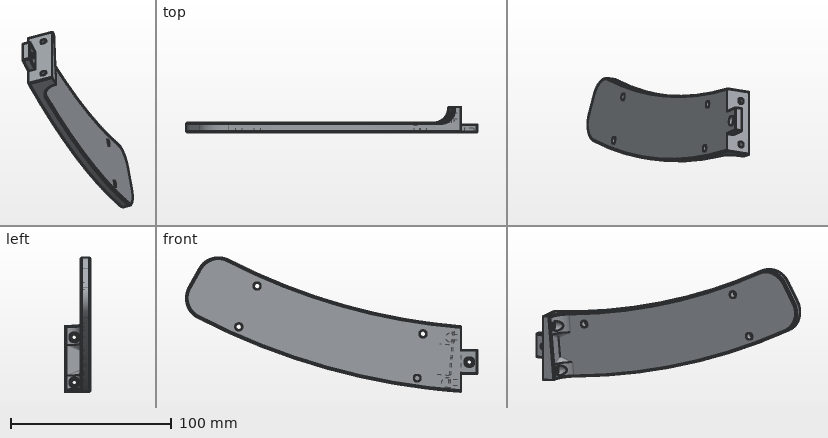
import cadquery as cq
import math

plate_thickness = 6.2
plate_end_x = 171.1
arc_center_x = 201.6
outer_radius = 422.5
inner_radius = 381.8
corner_radius = 13.6
edge_chamfer = 0.9

flange_height = 16.0
flange_thickness = 6.5
flange_fillet = 8.5
flange_tilt = 5.0
recess_width = 19.0
recess_runout = 3.5
recess_center = -0.7
end_chamfer = 0.5

tab_end_x = 181.3
tab_bottom = 11.0
tab_top = 26.1
tab_thickness = 5.0
tab_chamfer = 0.5
tab_hole_position = (176.2, 18.5)

screw_diameter = 3.6
counterbore_diameter = 6.0
counterbore_depth = 1.0
tab_counterbore_depth = 2.9
flange_hole_y = 10.2
flange_hole_heights = (5.8, 33.9)
plate_hole_diameter = 4.2
through_hole_positions = ((44.2, 65.8), (32.8, 40.5), (147.4, 36.0))
blind_hole_position = (143.8, 8.5)
blind_hole_depth = 4.4

overcut = 1.8
along_y_limit = 0.95
tip_size = 0.04

end_offset = arc_center_x - plate_end_x
arc_center_z = math.sqrt(outer_radius**2 - end_offset**2)
end_top = arc_center_z - math.sqrt(inner_radius**2 - end_offset**2)
flange_length = end_top
flange_middle = flange_length / 2

corner_path = outer_radius - corner_radius
corner_angle = math.asin((arc_center_x - corner_radius) / corner_path)
far_angle = corner_angle + math.asin(corner_radius / corner_path)
near_angle = math.asin(end_offset / outer_radius)


def band_point(radius, angle):
    """Point at an angle from straight down about the arc centre, as (x, z)."""
    return arc_center_x - radius * math.sin(angle), arc_center_z - radius * math.cos(angle)


def front_plane(y):
    """XZ sketch plane at a given y; a negative extrusion from it goes toward +Y."""
    return cq.Plane(origin=(0, y, 0), xDir=(1, 0, 0), normal=(0, -1, 0))


def front_cylinder(position, diameter, depth):
    """Cylinder running from the front face toward +Y."""
    return cq.Workplane(front_plane(0)).pushPoints([position]).circle(diameter / 2).extrude(-depth)


def make_band():
    """Full-height band outline, rounded at its two far corners."""
    middle_angle = (near_angle + far_angle) / 2
    band = (
        cq.Workplane(front_plane(0))
        .moveTo(plate_end_x, 0)
        .threePointArc(band_point(outer_radius, middle_angle), band_point(outer_radius, far_angle))
        .lineTo(*band_point(inner_radius, far_angle))
        .threePointArc(band_point(inner_radius, middle_angle), (plate_end_x, end_top))
        .close()
        .extrude(-flange_height)
    )
    return band.edges("|Y").edges("not >X").fillet(corner_radius)


def tilt_with_flange(body):
    """Move a body from flange coordinates (inner face at x = 0) to its tilted place."""
    turned = body.rotate((0, 0, 0), (0, 1, 0), flange_tilt)
    return turned.translate((plate_end_x - flange_thickness, 0, flange_middle))


def make_flange_clearance():
    """Space behind the plate, with a concave fillet up to the flange's inner face."""
    fillet_top = plate_thickness + flange_fillet
    reach = 2 * tab_end_x
    diagonal = flange_fillet * math.sqrt(0.5)
    profile = (
        cq.Workplane("XY", origin=(0, 0, -plate_end_x))
        .moveTo(-reach, plate_thickness)
        .lineTo(-flange_fillet, plate_thickness)
        .threePointArc((diagonal - flange_fillet, fillet_top - diagonal), (0, fillet_top))
        .lineTo(0, flange_height + overcut)
        .lineTo(-reach, flange_height + overcut)
        .close()
        .extrude(2 * plate_end_x)
    )
    return tilt_with_flange(profile)


def fillet_profile(plane, size):
    """Three-sided fillet section of a given size in the corner of plate and flange."""
    diagonal = size * math.sqrt(0.5)
    return (
        plane.moveTo(0, 0)
        .lineTo(-size, 0)
        .threePointArc((diagonal - size, size - diagonal), (0, size))
        .close()
    )


def make_fillet_recess():
    """Gap in the fillet, at each end of which the fillet fades to a point in the corner."""
    half_width = recess_width / 2
    gap = cq.Workplane("XY").box(
        flange_fillet + overcut, flange_height, recess_width, centered=(False, False, True)
    ).translate((-flange_fillet - overcut, 0, 0))
    full_section = fillet_profile(cq.Workplane("XY"), flange_fillet)
    runout = fillet_profile(full_section.workplane(offset=recess_runout), tip_size).loft(ruled=True)
    lower_runout = runout.translate((0, 0, -half_width))
    for ending in (lower_runout, lower_runout.mirror("XY")):
        gap = gap.cut(ending)
    return tilt_with_flange(gap.translate((0, plate_thickness, recess_center)))


def chamfer_long_edges(body):
    """Bevel the rim of the plate on both faces and the sides of the flange fillet."""
    rim = [
        edge
        for edge in body.edges().vals()
        if edge.Center().x < plate_end_x - flange_thickness
        and abs(edge.tangentAt(0.5).y) < along_y_limit
        and not is_across_plate(edge)
    ]
    return body.newObject(rim).chamfer(edge_chamfer)


def is_across_plate(edge):
    """True for straight edges that run across the band at the flange."""
    return edge.geomType() == "LINE" and edge.Center().x > plate_end_x / 2


def make_flange_bevel():
    """Wedge that bevels the edge between the flange's inner face and its rear face."""
    wedge = (
        cq.Workplane("XY", origin=(0, 0, -flange_length))
        .moveTo(0, flange_height - edge_chamfer)
        .lineTo(edge_chamfer, flange_height)
        .lineTo(0, flange_height)
        .close()
        .extrude(2 * flange_length)
    )
    return tilt_with_flange(wedge)


def make_tab():
    """Tongue bevelled along its top, bottom and free end; the hole is cut later."""
    root_x = plate_end_x - overcut
    tab = (
        cq.Workplane("XY")
        .box(tab_end_x - root_x, tab_thickness, tab_top - tab_bottom, centered=False)
        .translate((root_x, 0, tab_bottom))
    )
    return tab.faces(">X or >Z or <Z").chamfer(tab_chamfer)


def flange_cylinder(z, diameter, start_x, end_x):
    """Cylinder along X at the height of a flange hole."""
    return (
        cq.Workplane("YZ", origin=(start_x, 0, 0))
        .center(flange_hole_y, z)
        .circle(diameter / 2)
        .extrude(end_x - start_x)
    )


def cut_flange_holes(body):
    """Screw holes along X, counterbored through the fillet from the inner side."""
    for z in flange_hole_heights:
        lean = (z - flange_middle) * math.tan(math.radians(flange_tilt))
        face_x = plate_end_x - flange_thickness + lean
        start_x = face_x - flange_fillet
        body = body.cut(flange_cylinder(z, screw_diameter, start_x, plate_end_x + overcut))
        body = body.cut(flange_cylinder(z, counterbore_diameter, start_x, face_x + counterbore_depth))
    return body


def cut_front_holes(body):
    """Holes along Y in the plate and the tongue."""
    for position in through_hole_positions:
        body = body.cut(front_cylinder(position, plate_hole_diameter, plate_thickness))
    body = body.cut(front_cylinder(blind_hole_position, plate_hole_diameter, blind_hole_depth))
    body = body.cut(front_cylinder(tab_hole_position, screw_diameter, tab_thickness))
    return body.cut(front_cylinder(tab_hole_position, counterbore_diameter, tab_counterbore_depth))


body = make_band().cut(make_flange_clearance())
body = chamfer_long_edges(body)
body = body.cut(make_fillet_recess())
body = body.cut(make_flange_bevel())
body = body.faces(">X").edges("|Y").chamfer(end_chamfer)
body = body.union(make_tab())
body = cut_flange_holes(body)
result = cut_front_holes(body)